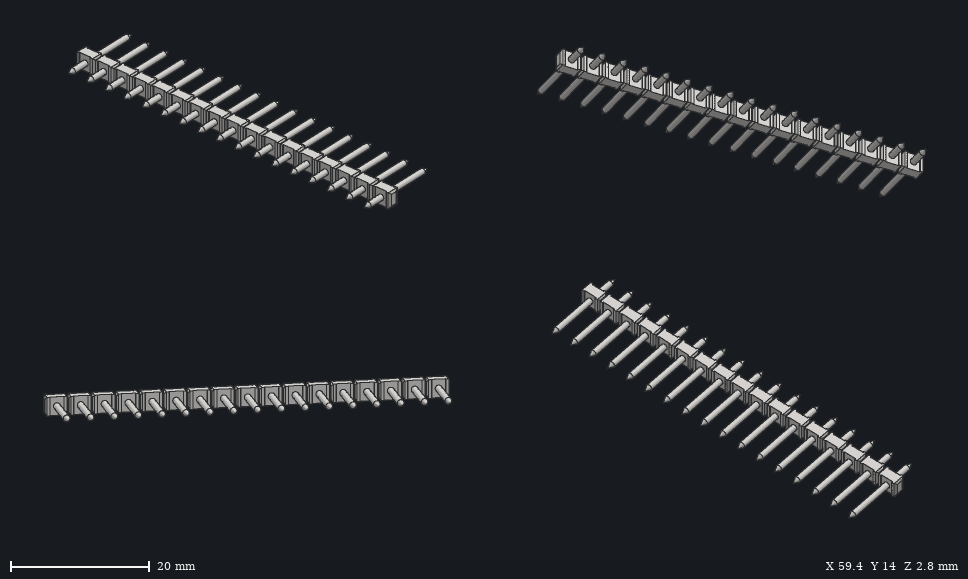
import cadquery as cq

pin_count = 17
row_length = 59.4
block_length = 3.4
body_depth = 2.0
body_height = 2.8
pitch = (row_length - block_length) / (pin_count - 1)

pin_diameter = 1.0
pin_front_length = 3.6
pin_rear_length = 8.4
tip_length = 1.0

bevel_length = 0.21
end_face_depth = 1.0
end_face_height = 2.0

groove_width = 2.1
groove_depth = 0.2

bar_length = row_length - block_length

pin_positions = [(i - (pin_count - 1) / 2) * pitch for i in range(pin_count)]


def make_block_end(side):
    """Bevelled end of a block, tapering outwards along X; side is -1 or 1."""
    return (
        cq.Workplane("YZ")
        .workplane(offset=side * (block_length / 2 - bevel_length))
        .rect(body_depth, body_height)
        .workplane(offset=side * bevel_length)
        .rect(end_face_depth, end_face_height)
        .loft(ruled=True)
    )


def make_groove(side):
    """Cutter for the full-height groove in the front (-1) or rear (1) face."""
    return (
        cq.Workplane("XY")
        .box(groove_width, 2 * groove_depth, body_height)
        .translate((0, side * body_depth / 2, 0))
    )


def make_pin():
    """Round pin with a conical point at each end, as a profile turned about Y."""
    front_tip = -body_depth / 2 - pin_front_length
    rear_tip = body_depth / 2 + pin_rear_length
    radius = pin_diameter / 2
    return (
        cq.Workplane("XY")
        .polyline([
            (0, front_tip),
            (radius, front_tip + tip_length),
            (radius, rear_tip - tip_length),
            (0, rear_tip),
        ])
        .close()
        .revolve(360, (0, 0, 0), (0, 1, 0))
    )


def make_station():
    """One housing block with its pin, centred on the block."""
    block = cq.Workplane("XY").box(block_length - 2 * bevel_length, body_depth, body_height)
    for side in (-1, 1):
        block = block.union(make_block_end(side)).cut(make_groove(side))
    return block.union(make_pin())


station = make_station()
result = cq.Workplane("XY").box(bar_length, end_face_depth, end_face_height)
for x in pin_positions:
    result = result.union(station.translate((x, 0, 0)))